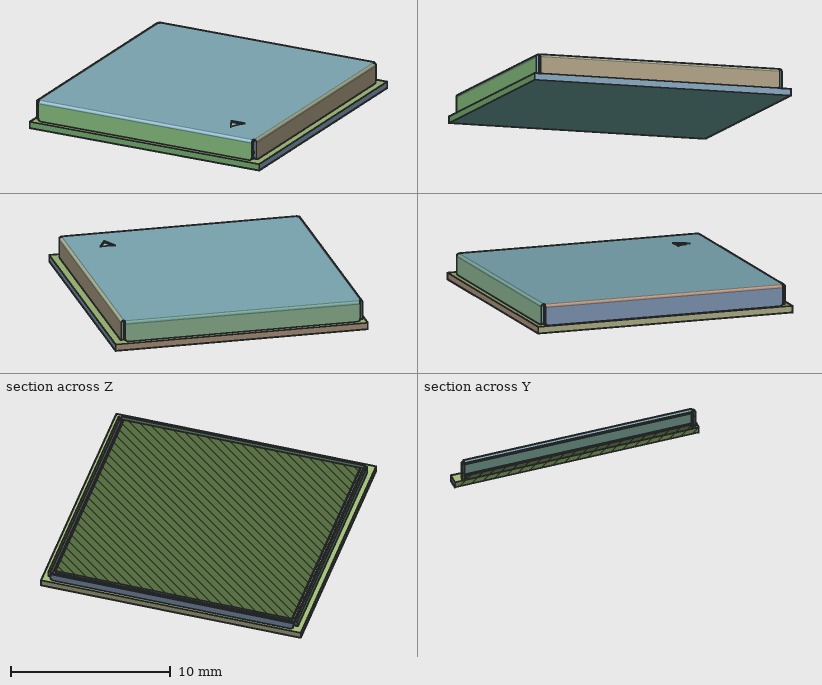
import cadquery as cq

board_length_x = 16.3
board_length_y = 17.0
board_thickness = 0.43
total_height = 1.78

margin_left = 0.195
margin_right = 0.5
margin_y = 0.35
sheet_thickness = 0.17
bend_outer_radius = sheet_thickness
flap_corner_setback = 0.21
flap_corner_radius = 0.2

lower_block_inset = 0.27
upper_block_inset = 0.4
lower_block_height = 0.33

mark_width = 0.96
mark_height = 0.95
mark_depth = 0.1
mark_from_right_edge = 3.06
mark_tip_from_edge = 1.95

can_length_x = board_length_x - margin_left - margin_right
can_length_y = board_length_y - 2 * margin_y
can_height = total_height - board_thickness
can_center_x = (margin_left - margin_right) / 2


def make_board():
    return cq.Workplane("XY").box(
        board_length_x, board_length_y, board_thickness, centered=(True, True, False)
    )


def make_flap_pair(span, width):
    """Inverted U of bent sheet, open along Y, with its two flaps facing -X and +X."""
    inner_span = span - 2 * sheet_thickness
    inner_height = can_height - sheet_thickness
    outside = (
        cq.Workplane("XY")
        .box(span, width, can_height, centered=(True, True, False))
        .edges("|Y and >Z")
        .fillet(bend_outer_radius)
    )
    inside = cq.Workplane("XY").box(inner_span, width, inner_height, centered=(True, True, False))
    return outside.cut(inside).edges("|X and <Z").fillet(flap_corner_radius)


def make_lid_plate():
    """Flat top of the can, ending where the bends begin."""
    return (
        cq.Workplane("XY")
        .workplane(offset=can_height - sheet_thickness)
        .rect(can_length_x - 2 * bend_outer_radius, can_length_y - 2 * bend_outer_radius)
        .extrude(sheet_thickness)
    )


def make_mark_cutter():
    center_x = board_length_x / 2 - mark_from_right_edge
    tip_y = -board_length_y / 2 + mark_tip_from_edge
    base_y = tip_y + mark_height
    return (
        cq.Workplane("XY")
        .workplane(offset=total_height - mark_depth)
        .moveTo(center_x, tip_y)
        .lineTo(center_x + mark_width / 2, base_y)
        .lineTo(center_x - mark_width / 2, base_y)
        .close()
        .extrude(mark_depth)
    )


def make_shield_can():
    flaps_x = make_flap_pair(can_length_x, can_length_y - 2 * flap_corner_setback)
    flaps_y = make_flap_pair(can_length_y, can_length_x - 2 * flap_corner_setback)
    flaps_y = flaps_y.rotate((0, 0, 0), (0, 0, 1), 90)
    can = make_lid_plate().union(flaps_x).union(flaps_y)
    can = can.translate((can_center_x, 0, board_thickness))
    return can.cut(make_mark_cutter())


def make_block(inset, bottom, height):
    """Rectangular block centred in the can, set in from the can's outer faces."""
    return (
        cq.Workplane("XY")
        .workplane(offset=bottom)
        .center(can_center_x, 0)
        .rect(can_length_x - 2 * inset, can_length_y - 2 * inset)
        .extrude(height)
    )


board = make_board()
shield_can = make_shield_can()
lower_block = make_block(lower_block_inset, board_thickness, lower_block_height)
upper_block = make_block(
    upper_block_inset,
    board_thickness + lower_block_height,
    can_height - sheet_thickness - lower_block_height,
)

result = cq.Compound.makeCompound(
    [board.val(), shield_can.val(), lower_block.val(), upper_block.val()]
)